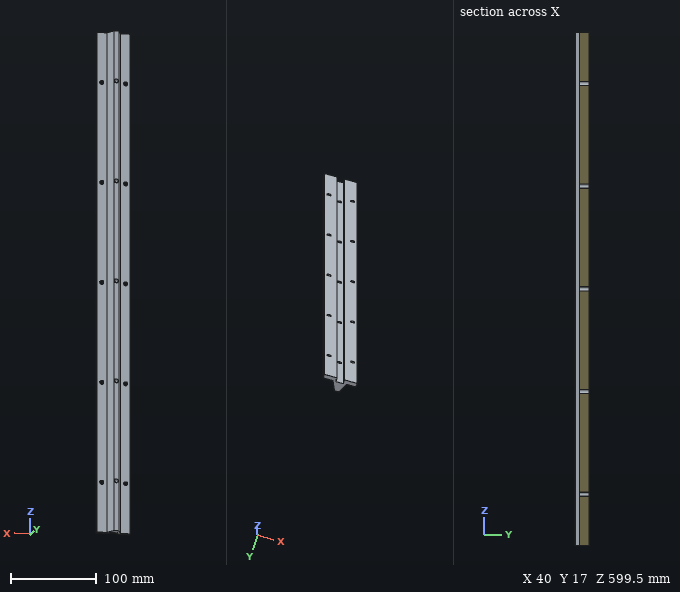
import cadquery as cq

length = 599.5
plate_width = 40.0
plate_thickness = 5.0
rail_height = 17.0

rib_base_width = 17.0
rib_top_width = 6.0

groove_width = 9.0
groove_depth = plate_thickness

hole_diameter = 4.5
hole_spacing_x = 14.5
holes_per_row = 3
row_count = 5
row_pitch = length / row_count


def make_profile_body():
    """Extrude the symmetric cross-section: flat plate, tapered rib and groove."""
    right_side = [
        (groove_width / 2, groove_depth),
        (groove_width / 2, 0),
        (plate_width / 2, 0),
        (plate_width / 2, plate_thickness),
        (rib_base_width / 2, plate_thickness),
        (rib_top_width / 2, rail_height),
    ]
    left_side = [(-x, y) for x, y in reversed(right_side)]
    return cq.Workplane("XY").polyline(right_side + left_side).close().extrude(length)


def make_hole_cutters():
    """Make the cylinders for all hole rows, one in the groove and one on each side."""
    return (
        cq.Workplane("XZ", origin=(0, rail_height, length / 2))
        .rarray(hole_spacing_x, row_pitch, holes_per_row, row_count)
        .circle(hole_diameter / 2)
        .extrude(rail_height)
    )


result = make_profile_body().cut(make_hole_cutters())